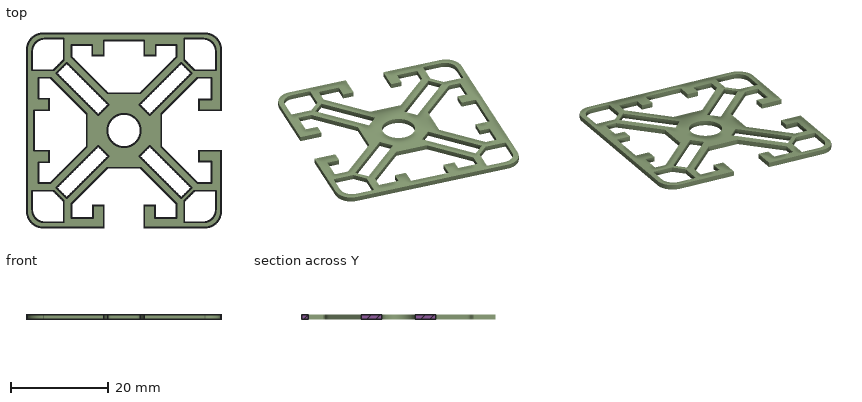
import cadquery as cq

side = 40.0
thickness = 1.0
corner_radius = 3.4
bore_diameter = 6.8

hub_half = 7.7
spoke_offset = 4.3
slot_width = 3.0
slot_start = 6.0
slot_end = 18.15

pocket_wall = 1.1
pocket_inner = 12.4
pocket_radius = 2.6
pocket_chamfer = 2.1

groove_half = 10.8
mouth_half = 4.1
lip_depth = 15.4
open_lip_width = 2.3
open_recess_depth = 18.0
closed_lip_width = 2.45
closed_recess_depth = 17.55
closed_floor_depth = 18.5

half = side / 2
quarter_turn = 90.0
diagonal_angle = 45.0


def plate():
    blank = cq.Workplane("XY").rect(side, side).extrude(thickness)
    return blank.edges("|Z").fillet(corner_radius)


def groove(lip_width, recess_depth, mouth_depth):
    """T-shaped groove on the +X side, cut outward from the hub to mouth_depth."""
    lip_outer = mouth_half + lip_width
    upper = [
        (hub_half, hub_half - spoke_offset),
        (groove_half + spoke_offset, groove_half),
        (recess_depth, groove_half),
        (recess_depth, lip_outer),
        (lip_depth, lip_outer),
        (lip_depth, mouth_half),
        (mouth_depth, mouth_half),
    ]
    lower = [(x, -y) for x, y in reversed(upper)]
    return cq.Workplane("XY").polyline(upper + lower).close().extrude(thickness)


def spoke_slot():
    """Rectangular slot lying along +X, to be turned onto a diagonal."""
    slot_length = slot_end - slot_start
    slot_middle = (slot_start + slot_end) / 2
    return cq.Workplane("XY").center(slot_middle, 0).rect(slot_length, slot_width).extrude(thickness)


def corner_pocket():
    """Pocket in the +X +Y corner: rounded outside, chamfered toward the hub."""
    pocket_size = half - pocket_wall - pocket_inner
    pocket = (
        cq.Workplane("XY")
        .center(pocket_inner, pocket_inner)
        .rect(pocket_size, pocket_size, centered=False)
        .extrude(thickness)
    )
    pocket = pocket.edges("|Z").edges(">(1, 1, 0)").fillet(pocket_radius)
    return pocket.edges("|Z").edges("<(1, 1, 0)").chamfer(pocket_chamfer)


def turned(shape, angle):
    return shape.rotate((0, 0, 0), (0, 0, 1), angle)


result = plate().faces(">Z").workplane().hole(bore_diameter)

open_groove = groove(open_lip_width, open_recess_depth, half)
closed_groove = groove(closed_lip_width, closed_recess_depth, closed_floor_depth)
for quarter in (0, 3):
    result = result.cut(turned(open_groove, quarter_turn * quarter))
for quarter in (1, 2):
    result = result.cut(turned(closed_groove, quarter_turn * quarter))

for quarter in range(4):
    angle = quarter_turn * quarter
    result = result.cut(turned(spoke_slot(), angle + diagonal_angle))
    result = result.cut(turned(corner_pocket(), angle))